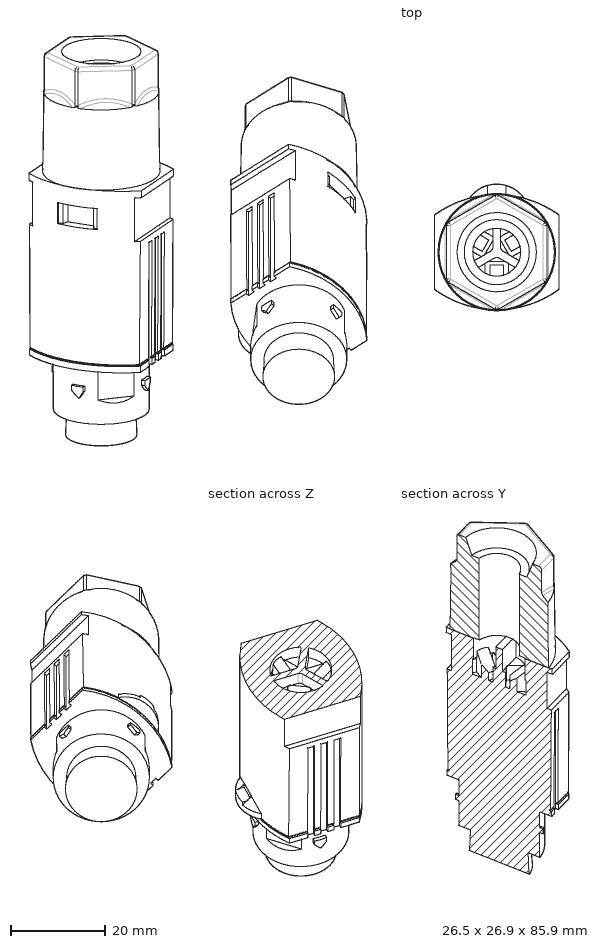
import cadquery as cq
import math


TOTAL_HEIGHT = 85.85
TIP_TOP_Z = 5.75
BASE_RIM_Z = 18.3
GROOVE_Z = 19.7
BARREL_Z = 20.0
RECESS_Z = 47.65
COLLAR_Z = 57.45
NUT_Z = 59.0
LEDGE_Z = 76.9

SIDE_ARC_RADIUS = 22.3
SIDE_ARC_Y = 12.23
BARREL_TOP_HALF = 13.05
BARREL_FOOT_HALF = 12.88
BASE_RIM_HALF = 13.05
PANEL_HALF = 12.0
COLLAR_HALF = 13.24
GROOVE_DEPTH = 0.25

SPIGOT_RADIUS = 10.2
TIP_TOP_RADIUS = 7.35
TIP_END_RADIUS = 7.6

SLOT_WIDTH = 1.55
SLOT_PITCH = 3.0
SLOT_DEPTH = 0.7
SLOT_TOP_Z = 46.1

WINDOW_Z = (50.2, 54.9)
WINDOW_HALF = 4.65
WINDOW_STEP_Y = -11.2
WELL_TOP_HALF = 3.6
WELL_FLOOR_HALF = 3.15
WELL_FLOOR_Y = -9.8

TAB_RADIUS = 7.1
TAB_REACH_Y = 14.45
TAB_PAD_HALF = 1.95
TAB_PAD_Z = 22.6
TAB_CONE_Z = 21.7

KEY_FLAT_DISTANCE = 9.37
KEY_FLAT_Z = 11.2
KEY_ANGLES = (-45, 135)

PIP_RADIUS = 11.0
PIP_TOP_Z = 14.1
PIP_SHOULDER_Z = 13.0
PIP_POINT_Z = 11.45
PIP_WIDTH = 2.8
PIP_SIDE_SHIFT = 0.4

CHAMBER_RADIUS = 6.5
CHAMBER_DEPTH = 6.0
WEB_HALF = 0.83
WEB_ROUNDING = 1.0
CHAMBER_ANGLES = (30, 150, 270)
TERMINAL_WELL_HALF = 2.45
TERMINAL_WELL_DEPTH = 4.0
TERMINAL_HALF = 1.4
TERMINAL_INNER_RADIUS = 2.75

NUT_BASE_RADIUS = 12.45
NUT_LEDGE_RADIUS = 12.22
HEX_SIDES = 6
HEX_STEP = 360 / HEX_SIDES
HEX_APOTHEM = 10.65
HEX_CORNER_RADIUS = 12.1
CORNER_STEP_Z = 77.2
HEX_TOP_ROUNDING = 0.8
LEDGE_FILLET = 1.0
MOUTH_TOP_RADIUS = 8.4
MOUTH_FLOOR_RADIUS = 6.9
MOUTH_DEPTH = 4.3
BORE_RADIUS = 5.07


def arc_prism(bottom_z, top_z, inset=0.0):
    """Prism with flats at the collar width and a broad arc on its -Y and +Y sides."""
    radius = SIDE_ARC_RADIUS - inset
    reach = SIDE_ARC_Y - inset
    corner_y = reach - radius + math.sqrt(radius**2 - COLLAR_HALF**2)
    return (
        cq.Workplane("XY").workplane(offset=bottom_z)
        .moveTo(-COLLAR_HALF, -corner_y)
        .threePointArc((0, -reach), (COLLAR_HALF, -corner_y))
        .lineTo(COLLAR_HALF, corner_y)
        .threePointArc((0, reach), (-COLLAR_HALF, corner_y))
        .close()
        .extrude(top_z - bottom_z)
    )


def box_between(x_range, y_range, z_range):
    size = [high - low for low, high in (x_range, y_range, z_range)]
    return cq.Workplane("XY").box(*size, centered=False).translate((x_range[0], y_range[0], z_range[0]))


def make_shell():
    """Barrel with broad arcs front and back, its flat sides stepped along the height."""
    groove_half = BARREL_FOOT_HALF - GROOVE_DEPTH
    right_side = [
        (BASE_RIM_HALF, BASE_RIM_Z),
        (BASE_RIM_HALF, GROOVE_Z),
        (groove_half, GROOVE_Z),
        (groove_half, BARREL_Z),
        (BARREL_FOOT_HALF, BARREL_Z),
        (BARREL_TOP_HALF, RECESS_Z),
        (PANEL_HALF, RECESS_Z),
        (PANEL_HALF, COLLAR_Z),
        (COLLAR_HALF, COLLAR_Z),
        (COLLAR_HALF, NUT_Z),
    ]
    left_side = [(-x, z) for x, z in reversed(right_side)]
    outline = cq.Workplane("XZ").polyline(right_side + left_side).close()
    side_steps = outline.extrude(SIDE_ARC_RADIUS, both=True)
    arcs = (
        arc_prism(BASE_RIM_Z, GROOVE_Z)
        .union(arc_prism(GROOVE_Z, BARREL_Z, GROOVE_DEPTH))
        .union(arc_prism(BARREL_Z, NUT_Z))
    )
    return arcs.intersect(side_steps)


def make_tab():
    """Round latch tab on the +Y side: a sloped-off disc with a level pad at its middle."""
    centre_y = TAB_REACH_Y - TAB_RADIUS
    slope_height = TAB_RADIUS / 2
    disc = (
        cq.Workplane("XZ")
        .moveTo(0, BARREL_Z)
        .lineTo(TAB_RADIUS, BARREL_Z)
        .lineTo(TAB_RADIUS, TAB_CONE_Z)
        .lineTo(TAB_RADIUS - slope_height, TAB_CONE_Z + slope_height)
        .lineTo(0, TAB_CONE_Z + slope_height)
        .close()
        .revolve(360, (0, 0, 0), (0, 1, 0))
        .translate((0, centre_y, 0))
    )
    pad_span = (-TAB_PAD_HALF, TAB_PAD_HALF)
    above_pad = box_between(pad_span, (SIDE_ARC_Y, TAB_REACH_Y), (TAB_PAD_Z, RECESS_Z))
    pad = (
        cq.Workplane("XY").workplane(offset=BARREL_Z)
        .center(0, centre_y).circle(TAB_RADIUS).extrude(TAB_PAD_Z - BARREL_Z)
        .intersect(box_between(pad_span, (0, TAB_REACH_Y), (BARREL_Z, TAB_PAD_Z)))
    )
    return disc.cut(above_pad).union(pad)


def make_grip_slots():
    """Three upright grooves in each flat side, open at the rim."""
    slots = cq.Workplane("XY")
    for side in (-1, 1):
        outer = side * BARREL_TOP_HALF
        inner = outer - side * SLOT_DEPTH
        for index in (-1, 0, 1):
            y_range = (index * SLOT_PITCH - SLOT_WIDTH / 2, index * SLOT_PITCH + SLOT_WIDTH / 2)
            slot = box_between(sorted((outer, inner)), y_range, (BASE_RIM_Z, SLOT_TOP_Z))
            slots = slots.add(slot)
    return slots.combine()


def make_window():
    """Stepped window in the -Y side."""
    step = box_between((-WINDOW_HALF, WINDOW_HALF), (-SIDE_ARC_Y, WINDOW_STEP_Y), WINDOW_Z)
    well = (
        cq.Workplane("XY").workplane(offset=WINDOW_Z[0])
        .polyline([
            (-WELL_TOP_HALF, WINDOW_STEP_Y),
            (WELL_TOP_HALF, WINDOW_STEP_Y),
            (WELL_FLOOR_HALF, WELL_FLOOR_Y),
            (-WELL_FLOOR_HALF, WELL_FLOOR_Y),
        ])
        .close()
        .extrude(WINDOW_Z[1] - WINDOW_Z[0])
    )
    return step.union(well)


def make_pip(angle, shift):
    """Arrow-shaped coupling pip pointing down, raised from the spigot."""
    left = shift - PIP_WIDTH / 2
    right = shift + PIP_WIDTH / 2
    arrow = (
        cq.Workplane("XZ")
        .polyline([
            (left, PIP_TOP_Z),
            (right, PIP_TOP_Z),
            (right, PIP_SHOULDER_Z),
            (0, PIP_POINT_Z),
            (left, PIP_SHOULDER_Z),
        ])
        .close()
        .extrude(PIP_RADIUS)
    )
    limit = cq.Workplane("XY").circle(PIP_RADIUS).extrude(BASE_RIM_Z)
    return arrow.intersect(limit).rotate((0, 0, 0), (0, 0, 1), angle)


def make_key_cut(angle):
    """Flat on the spigot whose lower end runs out at 45 degrees."""
    depth = SPIGOT_RADIUS - KEY_FLAT_DISTANCE
    return (
        cq.Workplane("XZ")
        .polyline([
            (KEY_FLAT_DISTANCE, BASE_RIM_Z),
            (KEY_FLAT_DISTANCE, KEY_FLAT_Z),
            (SPIGOT_RADIUS, KEY_FLAT_Z - depth),
            (SPIGOT_RADIUS, BASE_RIM_Z),
        ])
        .close()
        .extrude(SPIGOT_RADIUS, both=True)
        .rotate((0, 0, 0), (0, 0, 1), angle)
    )


def make_spigot():
    spigot = (
        cq.Workplane("XZ")
        .polyline([
            (0, 0),
            (TIP_END_RADIUS, 0),
            (TIP_TOP_RADIUS, TIP_TOP_Z),
            (SPIGOT_RADIUS, TIP_TOP_Z),
            (SPIGOT_RADIUS, BASE_RIM_Z),
            (0, BASE_RIM_Z),
        ])
        .close()
        .revolve(360, (0, 0, 0), (0, 1, 0))
    )
    for angle in KEY_ANGLES:
        spigot = spigot.cut(make_key_cut(angle))
    for quarter in range(4):
        shift = -PIP_SIDE_SHIFT if quarter % 2 == 0 else 0
        spigot = spigot.union(make_pip(quarter * 90, shift))
    return spigot


def make_chamber(angle):
    """Wire chamber between two web arms, with a sloped terminal standing in a deeper well."""
    half_angle = math.pi / len(CHAMBER_ANGLES)
    corner_x = WEB_HALF / math.sin(half_angle)
    spread_y = CHAMBER_RADIUS * math.tan(half_angle)
    floor_z = NUT_Z - CHAMBER_DEPTH
    well_z = floor_z - TERMINAL_WELL_DEPTH
    wedge = (
        cq.Workplane("XY").workplane(offset=floor_z)
        .polyline([
            (corner_x, 0),
            (corner_x + CHAMBER_RADIUS, spread_y),
            (corner_x + CHAMBER_RADIUS, -spread_y),
        ])
        .close()
        .extrude(CHAMBER_DEPTH)
        .edges("|Z and <X").fillet(WEB_ROUNDING)
    )
    disc = cq.Workplane("XY").workplane(offset=floor_z).circle(CHAMBER_RADIUS).extrude(CHAMBER_DEPTH)
    well = box_between(
        (corner_x + WEB_ROUNDING, CHAMBER_RADIUS),
        (-TERMINAL_WELL_HALF, TERMINAL_WELL_HALF),
        (well_z, floor_z),
    )
    terminal_run = CHAMBER_RADIUS - TERMINAL_INNER_RADIUS
    terminal = (
        cq.Workplane("XZ")
        .polyline([
            (TERMINAL_INNER_RADIUS, well_z),
            (CHAMBER_RADIUS, well_z),
            (CHAMBER_RADIUS, floor_z + terminal_run / 2),
            (TERMINAL_INNER_RADIUS, floor_z - terminal_run / 2),
        ])
        .close()
        .extrude(TERMINAL_HALF, both=True)
    )
    chamber = wedge.intersect(disc).union(well).cut(terminal)
    return chamber.rotate((0, 0, 0), (0, 0, 1), angle)


def make_housing():
    housing = make_shell().union(make_tab()).cut(make_grip_slots()).cut(make_window())
    housing = housing.union(make_spigot())
    for angle in CHAMBER_ANGLES:
        housing = housing.cut(make_chamber(angle))
    return housing


def make_flat_cut(angle):
    """Material cut away outside one flat of the hexagon, down to a 45 degree ledge with a rounded root."""
    reach = 2 * HEX_APOTHEM
    ledge_top_z = LEDGE_Z + NUT_LEDGE_RADIUS - HEX_APOTHEM
    block = box_between((HEX_APOTHEM, reach), (-HEX_APOTHEM, HEX_APOTHEM), (NUT_Z, TOTAL_HEIGHT))
    ledge_cone = (
        cq.Workplane("XZ")
        .polyline([
            (0, NUT_Z),
            (HEX_APOTHEM + ledge_top_z - NUT_Z, NUT_Z),
            (0, ledge_top_z + HEX_APOTHEM),
        ])
        .close()
        .revolve(360, (0, 0, 0), (0, 1, 0))
    )
    cut = block.cut(ledge_cone).edges("%HYPERBOLA and <X").fillet(LEDGE_FILLET)
    return cut.rotate((0, 0, 0), (0, 0, 1), angle)


def make_nut():
    corner_end_z = CORNER_STEP_Z + NUT_LEDGE_RADIUS - HEX_CORNER_RADIUS
    nut = (
        cq.Workplane("XZ")
        .polyline([
            (0, NUT_Z),
            (NUT_BASE_RADIUS, NUT_Z),
            (NUT_LEDGE_RADIUS, CORNER_STEP_Z),
            (HEX_CORNER_RADIUS, corner_end_z),
            (HEX_CORNER_RADIUS, TOTAL_HEIGHT),
            (0, TOTAL_HEIGHT),
        ])
        .close()
        .revolve(360, (0, 0, 0), (0, 1, 0))
        .rotate((0, 0, 0), (0, 0, 1), HEX_STEP / 2)
    )
    for index in range(HEX_SIDES):
        nut = nut.cut(make_flat_cut(index * HEX_STEP))
    nut = nut.faces(">Z").edges().fillet(HEX_TOP_ROUNDING)
    mouth_floor_z = TOTAL_HEIGHT - MOUTH_DEPTH
    opening = (
        cq.Workplane("XZ")
        .polyline([
            (0, NUT_Z),
            (BORE_RADIUS, NUT_Z),
            (BORE_RADIUS, mouth_floor_z),
            (MOUTH_FLOOR_RADIUS, mouth_floor_z),
            (MOUTH_TOP_RADIUS, TOTAL_HEIGHT),
            (0, TOTAL_HEIGHT),
        ])
        .close()
        .revolve(360, (0, 0, 0), (0, 1, 0))
    )
    return nut.cut(opening)


housing = make_housing()
nut = make_nut()
result = cq.Compound.makeCompound([housing.solids().val(), nut.solids().val()])